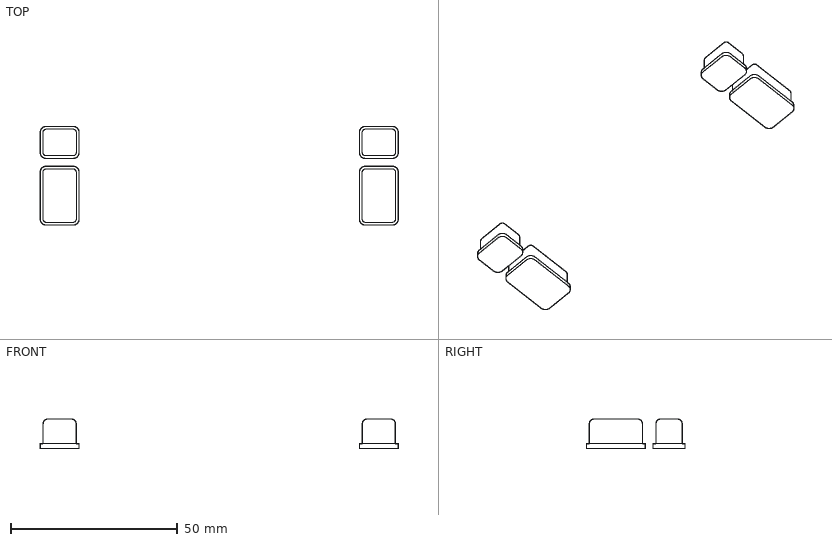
import cadquery as cq

overall_x = 107.8
overall_y = 29.8
overall_z = 9.0

flange_width = 11.8
flange_height = 1.5
overhang = 0.9
short_flange_length = 9.7
long_flange_length = 17.8

corner_radius = 1.0
top_radius = 1.5
flange_corner_radius = corner_radius + overhang

column_x = (overall_x - flange_width) / 2
short_y = (overall_y - short_flange_length) / 2
long_y = -(overall_y - long_flange_length) / 2


def make_flange(length):
    """Flat rounded plate resting on Z = 0."""
    plate = cq.Workplane("XY").rect(flange_width, length).extrude(flange_height)
    return plate.edges("|Z").fillet(flange_corner_radius)


def make_cap(length):
    """Rounded block through the flange up to the full height."""
    cap_width = flange_width - 2 * overhang
    cap_length = length - 2 * overhang
    block = cq.Workplane("XY").rect(cap_width, cap_length).extrude(overall_z)
    return block.edges("|Z").fillet(corner_radius).faces(">Z").edges().fillet(top_radius)


def make_button(length):
    """One button: a cap and its flange as a single solid."""
    return make_flange(length).union(make_cap(length))


def make_short_button(x):
    return make_button(short_flange_length).translate((x, short_y, 0))


def make_long_button(x):
    return make_button(long_flange_length).translate((x, long_y, 0))


columns = (-column_x, column_x)
short_buttons = [make_short_button(x) for x in columns]
long_buttons = [make_long_button(x) for x in columns]

result = cq.Compound.makeCompound([button.val() for button in short_buttons + long_buttons])